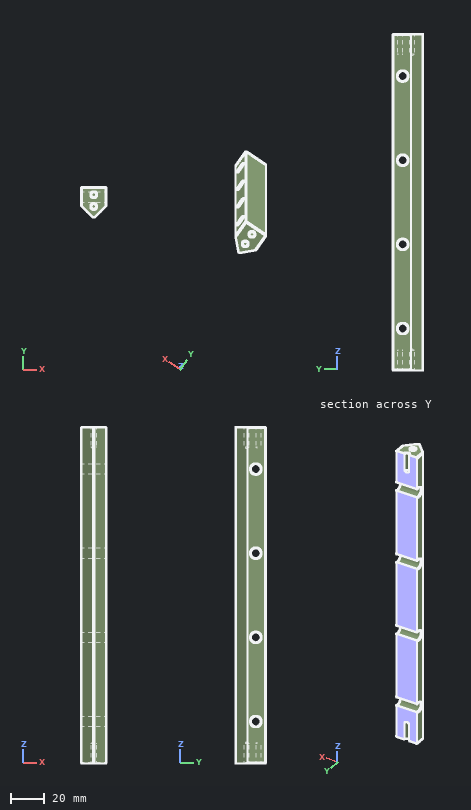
import cadquery as cq
import math

WIDTH = 15.0
DEPTH = 18.0
LENGTH = 200.0
EDGE_CHAMFER = 0.5

NOSE_FLAT = 1.0
NOSE_DEPTH = (WIDTH - NOSE_FLAT) / 2
BACK_Y = DEPTH / 2
NOSE_Y = -DEPTH / 2
SHOULDER_Y = NOSE_Y + NOSE_DEPTH

CROSS_HOLE_DIAMETER = 6.0
CROSS_HOLE_CHAMFER = 0.4
CROSS_HOLE_COUNT = 4
CROSS_HOLE_PITCH = LENGTH / CROSS_HOLE_COUNT
CROSS_HOLE_INSET = 6.0
CROSS_HOLE_Y = BACK_Y - CROSS_HOLE_INSET

END_HOLE_DIAMETER = 3.0
END_HOLE_CHAMFER = 0.5
END_HOLE_DEPTH = 12.0
END_HOLE_SPACING = 7.0
END_HOLE_INSET = 4.5
BACK_END_HOLE_Y = BACK_Y - END_HOLE_INSET
END_HOLE_YS = [BACK_END_HOLE_Y, BACK_END_HOLE_Y - END_HOLE_SPACING]
DRILL_POINT_ANGLE = 118.0
DRILL_POINT_DEPTH = END_HOLE_DIAMETER / 2 / math.tan(math.radians(DRILL_POINT_ANGLE / 2))


def make_bar():
    """Bar along Z, flat at the back and pointed at the front, with chamfered back and end edges."""
    outline = [
        (-WIDTH / 2, BACK_Y),
        (-WIDTH / 2, SHOULDER_Y),
        (-NOSE_FLAT / 2, NOSE_Y),
        (NOSE_FLAT / 2, NOSE_Y),
        (WIDTH / 2, SHOULDER_Y),
        (WIDTH / 2, BACK_Y),
    ]
    bar = cq.Workplane("XY").polyline(outline).close().extrude(LENGTH)
    flat_faces = bar.faces(">Y or <X or >X")
    return flat_faces.edges("|Y or (|X and >Y) or (|Z and >Y)").chamfer(EDGE_CHAMFER)


def make_cross_hole(z):
    """Cutter along X through both flat sides, widened by a chamfer at each mouth."""
    radius = CROSS_HOLE_DIAMETER / 2
    mouth_radius = radius + CROSS_HOLE_CHAMFER
    mouth_x = WIDTH / 2
    chamfer_x = mouth_x - CROSS_HOLE_CHAMFER
    half_section = [
        (-mouth_x, 0),
        (-mouth_x, mouth_radius),
        (-chamfer_x, radius),
        (chamfer_x, radius),
        (mouth_x, mouth_radius),
        (mouth_x, 0),
    ]
    cutter = cq.Workplane("XY").polyline(half_section).close().revolve(360, (0, 0), (1, 0))
    return cutter.translate((0, CROSS_HOLE_Y, z))


def make_end_hole(y):
    """Cutter for a drilled hole in the top end face: chamfered mouth, bore and conical bottom."""
    radius = END_HOLE_DIAMETER / 2
    bore_bottom_z = LENGTH - END_HOLE_DEPTH
    mouth_radius = radius + END_HOLE_CHAMFER
    half_section = [
        (0, LENGTH),
        (mouth_radius, LENGTH),
        (radius, LENGTH - END_HOLE_CHAMFER),
        (radius, bore_bottom_z),
        (0, bore_bottom_z - DRILL_POINT_DEPTH),
    ]
    cutter = cq.Workplane("XZ").polyline(half_section).close().revolve(360, (0, 0), (0, 1))
    return cutter.translate((0, y, 0))


result = make_bar()

for hole_index in range(CROSS_HOLE_COUNT):
    result = result.cut(make_cross_hole(CROSS_HOLE_PITCH * (hole_index + 0.5)))

for hole_y in END_HOLE_YS:
    top_hole = make_end_hole(hole_y)
    bottom_hole = top_hole.mirror("XY", (0, 0, LENGTH / 2))
    result = result.cut(top_hole).cut(bottom_hole)